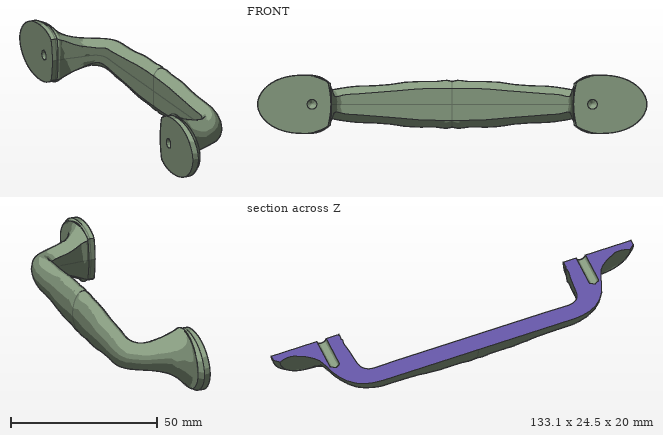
import cadquery as cq
import math

length = 133.1
height = 24.5
half_length = length / 2

grip_thickness = 6.5
grip_inner_y = height - grip_thickness
widest_depth = 0.42
side_depth = 0.17
side_rise = 0.68
crown_depth = 0.85
crown_width = 0.66
half_parameters = [0, 0.13, 0.34, 0.72]

pad_half_width = 10.0
pad_inner_x = -41.4
pad_half_flat = 7.5
pad_bow = 0.04

hole_spacing = 95.8
hole_diameter = 3.3
hole_depth = 12.0
drill_point_angle = 118.0

grip_widths = [
    (0, 7.9, 5.5),
    (-5.3, 7.9, 5.5),
    (-10.6, 7.9, 5.3),
    (-16, 7.6, 4.9),
    (-21.3, 6.8, 4.4),
    (-26.6, 6.4, 4.0),
    (-32, 6.3, 3.6),
]

base_section = ((pad_inner_x, 0), (-half_length, 0), pad_half_width, pad_half_flat, pad_bow)
rim_section = ((pad_inner_x, 1.6), (-half_length, 2.1), pad_half_width, pad_half_flat, pad_bow)
shoulder_section = ((-41.5, 2.3), (-64.7, 3.7), 9.6, 7.5, pad_bow)

grip_sections = [
    ((x, grip_inner_y), (x, height), half_width, half_flat, 0)
    for x, half_width, half_flat in grip_widths
]
leg_sections = [
    ((-37.0, grip_inner_y), (-38.5, 24.2), 5.6, 3.2, 0),
    ((-39.3, 16.8), (-44.3, 22.1), 4.9, 2.7, 0),
    ((-40.3, 14.6), (-48.6, 17.3), 4.7, 2.9, 0),
    ((-40.6, 11.7), (-50.6, 12.4), 5.2, 3.6, 0),
    ((-41.0, 7.6), (-52.0, 8.3), 6.4, 5.0, 0.01),
    ((-41.4, 4.3), (-55.6, 4.9), 8.3, 6.7, 0.02),
]


def section_wire(inner, outer, half_width, half_flat, setback):
    """Flat or slightly bowed on the inner side, with a rounded outer side."""
    run = outer[0] - inner[0]
    rise = outer[1] - inner[1]

    def point(depth, z):
        return cq.Vector(inner[0] + run * depth, inner[1] + rise * depth, z)

    side_z = half_flat + (half_width - half_flat) * side_rise
    crown_z = half_width * crown_width
    rounded_side = [
        point(setback, half_flat),
        point(side_depth, side_z),
        point(widest_depth, half_width),
        point(crown_depth, crown_z),
        point(1, 0),
        point(crown_depth, -crown_z),
        point(widest_depth, -half_width),
        point(side_depth, -side_z),
        point(setback, -half_flat),
    ]
    parameters = half_parameters + [1] + [2 - p for p in reversed(half_parameters)]
    middle = point(0, 0)
    upper_bow = point(setback / 4, half_flat / 2)
    lower_bow = point(setback / 4, -half_flat / 2)
    return cq.Wire.assembleEdges([
        cq.Edge.makeSpline([middle, upper_bow, rounded_side[0]]),
        cq.Edge.makeSpline(rounded_side, parameters=parameters),
        cq.Edge.makeSpline([rounded_side[-1], lower_bow, middle]),
    ])


def loft_skin(sections, ruled=False):
    """Side faces of a loft, without its flat end caps."""
    wires = [section_wire(*section) for section in sections]
    return cq.Workplane(cq.Solid.makeLoft(wires, ruled)).faces("not %PLANE").vals()


def grip_and_leg_skin():
    return loft_skin(grip_sections + leg_sections + [shoulder_section])


def foot_pad_skin():
    """Upright rim with a bevelled top edge, ending at the shoulder of the leg."""
    return loft_skin([base_section, rim_section, shoulder_section], ruled=True)


def handle():
    """Closed skin of both halves, sewn into one solid."""
    base_face = cq.Face.makeFromWires(section_wire(*base_section))
    half_skin = grip_and_leg_skin() + foot_pad_skin() + [base_face]
    other_half_skin = [face.mirror("YZ") for face in half_skin]
    shell = cq.Shell.makeShell(half_skin + other_half_skin)
    return cq.Workplane(cq.Solid.makeSolid(shell))


def screw_hole():
    radius = hole_diameter / 2
    tip = radius / math.tan(math.radians(drill_point_angle / 2))
    return (
        cq.Workplane("XY")
        .polyline([(0, 0), (radius, 0), (radius, hole_depth), (0, hole_depth + tip)])
        .close()
        .revolve(360, (0, 0, 0), (0, 1, 0))
        .translate((-hole_spacing / 2, 0, 0))
    )


left_hole = screw_hole()
result = handle().cut(left_hole).cut(left_hole.mirror("YZ")).solids()